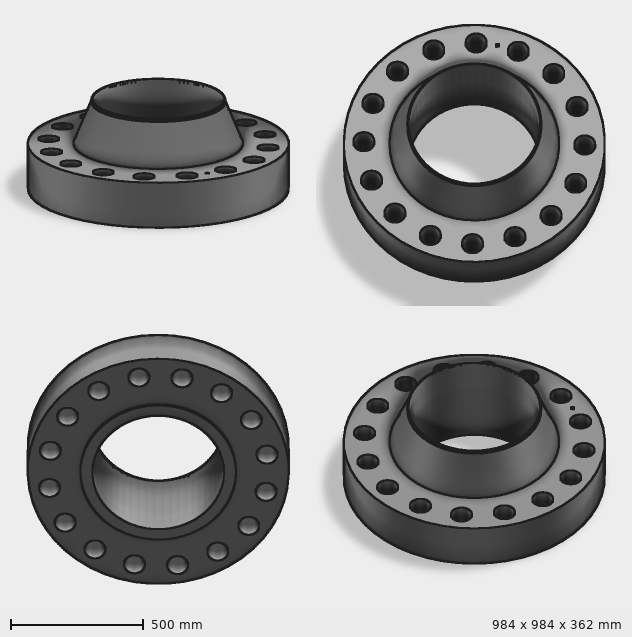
import cadquery as cq
import math

flange_radius = 492.0
flange_thickness = 178.0

face_radius = 293.0
face_height = 9.0

hub_base_radius = 320.0
neck_radius = 253.0
hub_height = 175.0
rim_height = 11.0
bevel_height = 5.0
rim_flat_radius = 250.0
bore_radius = 248.0

bolt_count = 16
bolt_circle_radius = 416.0
bolt_hole_radius = 39.0

mark_radius = 6.0
mark_depth = 10.0

flange_bottom = face_height
flange_top = flange_bottom + flange_thickness
neck_top = flange_top + hub_height
bolt_pitch_angle = 360.0 / bolt_count


def flange_body():
    """Revolve half of the ring section about the Z axis."""
    section = (
        cq.Workplane("XZ")
        .moveTo(bore_radius, 0)
        .lineTo(face_radius, 0)
        .lineTo(face_radius, flange_bottom)
        .lineTo(flange_radius, flange_bottom)
        .lineTo(flange_radius, flange_top)
        .lineTo(hub_base_radius, flange_top)
        .lineTo(neck_radius, neck_top - rim_height)
        .lineTo(neck_radius, neck_top - bevel_height)
        .lineTo(rim_flat_radius, neck_top)
        .lineTo(bore_radius, neck_top)
        .close()
    )
    return section.revolve(360, (0, 0, 0), (0, 1, 0))


def bolt_holes():
    """Ring of through holes, the first one on the +X axis."""
    return (
        cq.Workplane("XY")
        .polarArray(bolt_circle_radius, 0, 360, bolt_count)
        .circle(bolt_hole_radius)
        .extrude(flange_top)
    )


def mark_hole():
    """Blind hole in the flange top, on the bolt circle."""
    angle = math.radians(bolt_pitch_angle / 2)
    return (
        cq.Workplane("XY")
        .workplane(offset=flange_top - mark_depth)
        .center(bolt_circle_radius * math.cos(angle), bolt_circle_radius * math.sin(angle))
        .circle(mark_radius)
        .extrude(mark_depth)
    )


result = flange_body().cut(bolt_holes()).cut(mark_hole())